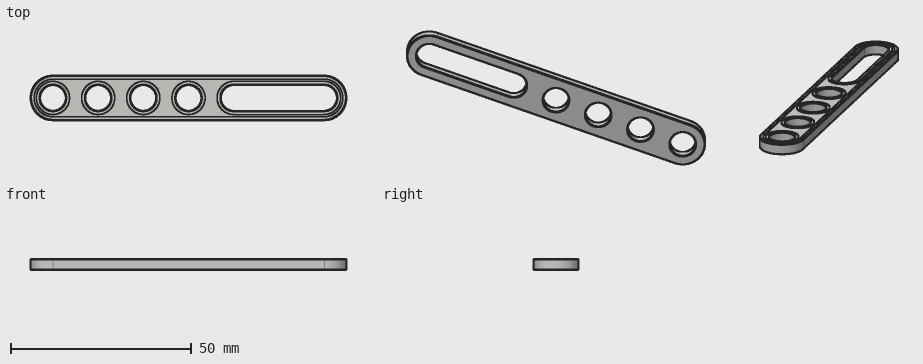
import cadquery as cq

length = 87.5
positions = 7
thickness = 3.15
hole_diameter = 7.0
boss_diameter = 9.2
rim_width = 1.05
recess_depth = 0.3
edge_chamfer = 0.3

pitch = length / positions
width = pitch
round_holes = [-3, -2, -1, 0]
slot_first = 1
slot_last = 3
hole_centers = [(place * pitch, 0) for place in round_holes]
slot_center = (slot_first + slot_last) / 2 * pitch
slot_travel = (slot_last - slot_first) * pitch
floor_height = thickness - recess_depth


def rounded_bar(bar_length, bar_width, height, base):
    """Round-ended bar along X, centred on the origin and rising from base."""
    return cq.Workplane("XY").workplane(offset=base).slot2D(bar_length, bar_width).extrude(height)


def openings(diameter, height, base):
    """Solid columns of one diameter at every round hole, plus the long slot."""
    columns = (
        cq.Workplane("XY")
        .workplane(offset=base)
        .pushPoints(hole_centers)
        .circle(diameter / 2)
        .extrude(height)
    )
    slot = rounded_bar(slot_travel + diameter, diameter, height, base)
    return columns.union(slot.translate((slot_center, 0, 0)))


body = rounded_bar(length, width, thickness, 0).faces("<Z or >Z").chamfer(edge_chamfer)

recess = rounded_bar(length - 2 * rim_width, width - 2 * rim_width, recess_depth, floor_height)
recess = recess.cut(openings(boss_diameter, recess_depth, floor_height))
recessed_body = body.cut(recess)

pierced_body = recessed_body.cut(openings(hole_diameter, thickness, 0))

strip_half_width = (hole_diameter + boss_diameter) / 4
mouth_strip = cq.selectors.BoxSelector(
    (-length, -strip_half_width, -thickness),
    (length, strip_half_width, 2 * thickness),
    boundingbox=True,
)
result = pierced_body.faces("<Z or >Z").edges(mouth_strip).chamfer(edge_chamfer)